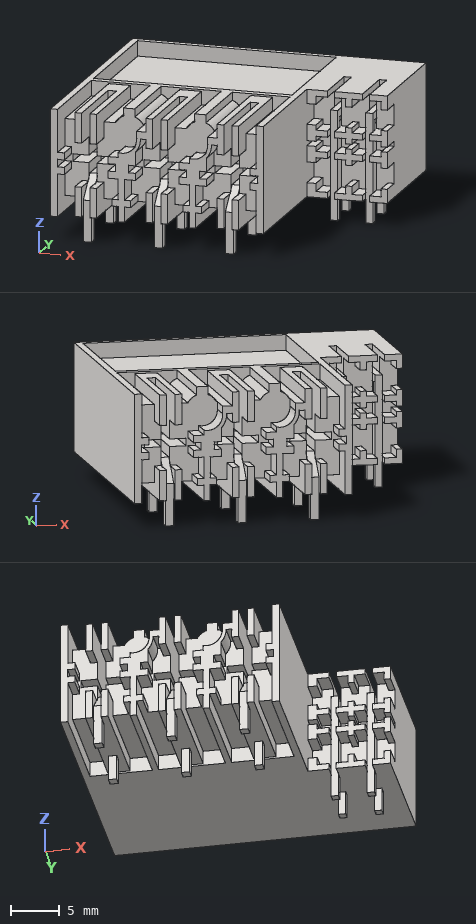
import cadquery as cq
import math

length = 31.45
depth = 28.3
height = 11.42
mid_z = height / 2
wall = 0.8
pin_drop = 2.58

cell_count = 3
cell_pitch = 7.6
cell_mid = cell_pitch / 2
power_width = cell_count * cell_pitch
bay_depth = 11.6
nose_depth = 2.52
core_step = 1.65
core_top = height - core_step

post_width = 2.33
post_height = 3.18
post_inset = 0.2

guide_left = 1.5
guide_right = 6.2
guide_height = 2.3
groove_left = 0.75
groove_right = 6.98
flat_slot_height = 0.8
flat_slot_width = 4.35

contact_width = 0.88
contact_front = 0.57
contact_back = 9.12
contact_shoulder = 6.6
contact_low = 1.85
contact_ramp = 2.3
power_pin = 0.95

stem_width = 0.65
foot_width = 2.0
foot_height = 0.72
round_offset = 0.05
round_z = 8.9
bore_radius = 1.57
shield_radius = 1.98
bump_radius = 1.75
bridge_thickness = 0.8
key_width = 1.2

signal_front = 14.9
cavity_back = 17.3
plate = 0.65
end_tooth = 0.85
shelf_tooth = 0.55
shelf_offset = 1.13
left_tooth_width = 0.97
tooth_width = 0.65
middle_tooth_x = 27.33
signal_pitch = 3.77
first_signal_x = 25.4
signal_count = 2
signal_width = 0.75
signal_contact_front = 15.98
signal_contact_back = 20.65
signal_contact_top = 9.12
signal_bar = 0.85
signal_pin = 0.82


def block(x0, x1, y0, y1, z0, z1):
    """Box between two limits on each axis."""
    return cq.Workplane("XY").box(x1 - x0, y1 - y0, z1 - z0, centered=False).translate((x0, y0, z0))


def rod(x, radius, y0, y1):
    """Round bar along Y at the height of the rounded parts."""
    return cq.Workplane("XZ", origin=(x, y0, round_z)).circle(radius).extrude(y0 - y1)


def side_plate(x, width, points):
    """Upright plate centred on x, from an outline of (y, z) points."""
    return cq.Workplane("YZ", origin=(x - width / 2, 0, 0)).polyline(points).close().extrude(width)


def shell():
    """Housing with the open front bay, the shallow top tray and the core block in the bay."""
    body = block(0, power_width, 0, depth, 0, height)
    body = body.union(block(power_width, length, signal_front, depth, 0, height))
    bay = block(wall, power_width - wall, 0, bay_depth, 0, height)
    tray = block(wall, power_width - wall, bay_depth + wall, depth - wall, core_top, height)
    core = block(wall, power_width - wall, nose_depth, bay_depth, core_step, core_top)
    return body.cut(bay).cut(tray).union(core)


def divider(x):
    """Wall between two cells: stem with a foot, shield around the bore, and keyed bump."""
    round_x = x + round_offset
    stem_left = x - stem_width / 2
    shield_base = x + guide_left
    post_left = x + cell_mid - post_width / 2
    stem = block(stem_left, stem_left + stem_width, 0, bay_depth, 0, mid_z)
    foot = block(x - foot_width / 2, x + foot_width / 2, 0, nose_depth, core_step, core_step + foot_height)
    web_top = round_z - math.sqrt(shield_radius**2 - (shield_base - round_x) ** 2)
    web = block(stem_left, shield_base, 0, nose_depth, mid_z, web_top)
    bridge_bottom = core_top - bridge_thickness
    shield_zone = block(stem_left, round_x + shield_radius, 0, nose_depth, mid_z, bridge_bottom)
    shield = rod(round_x, shield_radius, 0, nose_depth).intersect(shield_zone)
    bridge = block(round_x + bore_radius, post_left, 0, nose_depth, bridge_bottom, core_top)
    bump = rod(round_x, bump_radius, nose_depth, bay_depth)
    key = block(round_x - key_width / 2, round_x + key_width / 2, nose_depth, bay_depth, round_z, height)
    bore = rod(round_x, bore_radius, 0, nose_depth)
    front = web.union(shield).cut(bore).union(bridge)
    return front.union(stem).union(foot).union(bump).union(key)


def cell_solids(x):
    """Guide rails on both sides of a cell, and its upper and lower post."""
    middle = x + cell_mid
    post_left = middle - post_width / 2
    post_right = middle + post_width / 2
    rail_bottom = mid_z - guide_height / 2
    rail_top = mid_z + guide_height / 2
    post_top = height - post_inset
    solids = block(x, x + guide_left, 0, nose_depth, rail_bottom, rail_top)
    solids = solids.union(block(x + guide_right, x + cell_pitch, 0, nose_depth, rail_bottom, rail_top))
    for bottom in (post_inset, post_top - post_height):
        solids = solids.union(block(post_left, post_right, 0, bay_depth, bottom, bottom + post_height))
    return solids


def cell_slots(x):
    """Groove between the rails, flat slot in the core and upright slot for the contact."""
    middle = x + cell_mid
    flat_bottom = mid_z - flat_slot_height / 2
    flat_top = mid_z + flat_slot_height / 2
    half_flat = flat_slot_width / 2
    groove = block(x + groove_left, x + groove_right, 0, nose_depth, flat_bottom, flat_top)
    flat = block(middle - half_flat, middle, nose_depth, contact_shoulder, flat_bottom, flat_top)
    flat = flat.union(block(middle, middle + half_flat, nose_depth, contact_back, flat_bottom, flat_top))
    half_width = contact_width / 2
    upright = block(middle - half_width, middle + half_width, 0, contact_back, 0, height)
    return groove.union(flat).union(upright)


def power_contact(x):
    """Stepped plate with a ramp at the front and two solder pins."""
    ramp_top = contact_low + contact_ramp
    outline = [
        (contact_front, -pin_drop),
        (contact_front, contact_low),
        (contact_front + contact_ramp, ramp_top),
        (contact_shoulder, ramp_top),
        (contact_shoulder, mid_z + flat_slot_height / 2),
        (contact_back, mid_z + flat_slot_height / 2),
        (contact_back, -pin_drop),
        (contact_back - power_pin, -pin_drop),
        (contact_back - power_pin, post_inset),
        (contact_front + power_pin, post_inset),
        (contact_front + power_pin, -pin_drop),
    ]
    return side_plate(x, contact_width, outline)


def signal_ribs():
    """Floor, two shelves and ceiling, each with teeth at the left, middle and right."""
    half_plate = plate / 2
    layers = [
        (0, plate, 0, plate + end_tooth),
        (height - plate, height, height - plate - end_tooth, height),
    ]
    for centre in (mid_z - shelf_offset, mid_z + shelf_offset):
        low = centre - half_plate
        high = centre + half_plate
        layers.append((low, high, low - shelf_tooth, high + shelf_tooth))
    teeth = [
        (power_width, power_width + left_tooth_width),
        (middle_tooth_x - tooth_width / 2, middle_tooth_x + tooth_width / 2),
        (length - tooth_width, length),
    ]
    ribs = cq.Workplane("XY")
    for low, high, tooth_low, tooth_high in layers:
        ribs = ribs.union(block(power_width, length, signal_front, cavity_back, low, high))
        for left, right in teeth:
            ribs = ribs.union(block(left, right, signal_front, cavity_back, tooth_low, tooth_high))
    return ribs


def signal_slot(x):
    """Full-height slot that holds one signal contact."""
    half_width = signal_width / 2
    return block(x - half_width, x + half_width, signal_front, signal_contact_back, 0, height)


def signal_contact(x):
    """Plate with a window behind its front post and two solder pins."""
    outline = [
        (signal_contact_front, -pin_drop),
        (signal_contact_front, signal_contact_top),
        (signal_contact_back, signal_contact_top),
        (signal_contact_back, -pin_drop),
        (signal_contact_back - signal_pin, -pin_drop),
        (signal_contact_back - signal_pin, 0),
        (signal_contact_front + signal_pin, 0),
        (signal_contact_front + signal_pin, -pin_drop),
    ]
    half_width = signal_width / 2
    window = block(
        x - half_width,
        x + half_width,
        signal_contact_front + signal_pin,
        signal_contact_back - signal_pin,
        mid_z + shelf_offset + plate / 2,
        signal_contact_top - signal_bar,
    )
    return side_plate(x, signal_width, outline).cut(window)


cells = [index * cell_pitch for index in range(cell_count)]
signals = [first_signal_x + index * signal_pitch for index in range(signal_count)]

result = shell()

for border in cells[1:]:
    result = result.union(divider(border))
for start in cells:
    result = result.union(cell_solids(start)).cut(cell_slots(start))
    result = result.union(power_contact(start + cell_mid))

result = result.cut(block(power_width, length, signal_front, cavity_back, 0, height))
result = result.union(signal_ribs())
for centre in signals:
    result = result.cut(signal_slot(centre))
    result = result.union(signal_contact(centre))